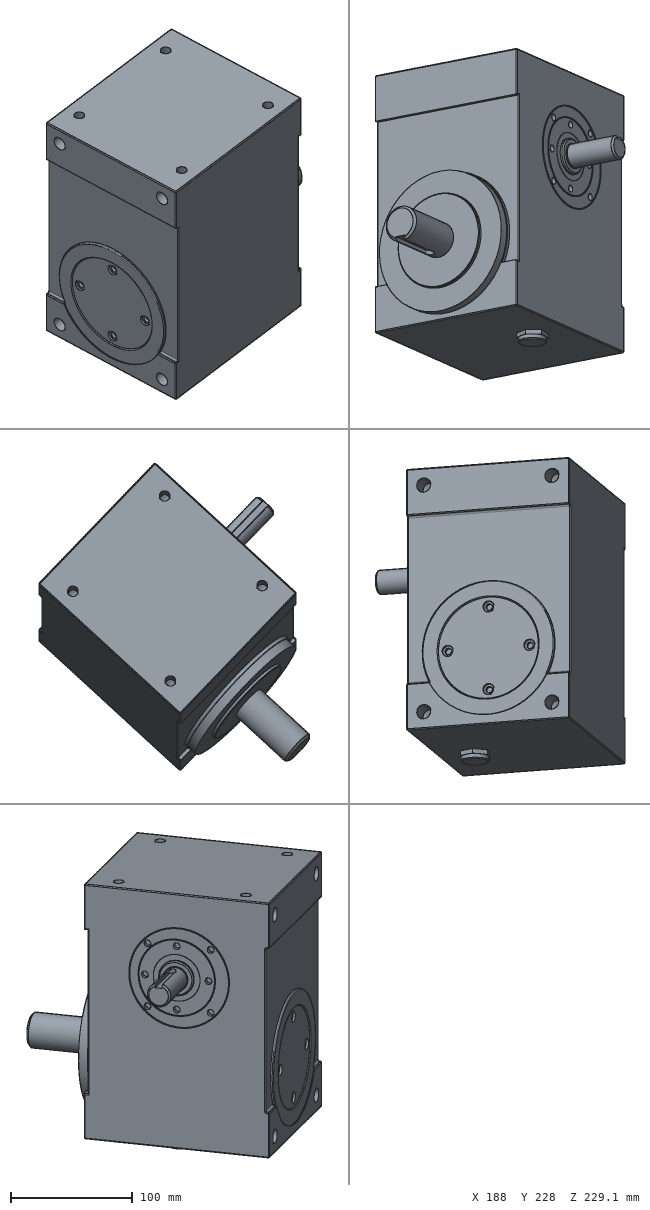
import cadquery as cq
import math

WIDTH = 140.0
DEPTH = 160.0
HEIGHT = 221.0
EDGE_CHAMFER = 1.0
FRONT = -DEPTH / 2
REAR = DEPTH / 2
LEFT = -WIDTH / 2

PAD_HEIGHT = 39.5
RELIEF_DEPTH = 3.2
RELIEF_FILLET = 1.4

MOUNT_PITCH_X = 110.0
MOUNT_PITCH_Y = 110.0
MOUNT_EDGE_Z = 14.5
FACE_HOLE_DIAMETER = 12.0
FACE_HOLE_DEPTH = 18.0
TOP_HOLE_DIAMETER = 8.7
TOP_HOLE_DEPTH = 15.0
DRILL_POINT_ANGLE = 118.0

OUTPUT_Z = 65.0
COVER_RADIUS = 56.8
COVER_SETBACK = 1.0
COVER_FILLET = 1.0
COVER_RECESS_RADIUS = 43.7
COVER_RECESS_DEPTH = 1.0
COVER_BOLT_COUNT = 4
COVER_BOLT_RADIUS = 35.0
COVER_BORE_DIAMETER = 9.2
COVER_BORE_DEPTH = 2.0
COVER_SOCKET_DIAMETER = 5.5
COVER_SOCKET_DEPTH = 5.0
BOSS_RADIUS = 61.0
FLANGE_RADIUS = 60.0
FLANGE_THICKNESS = 8.0
COLLAR_RADIUS = 40.0
COLLAR_THICKNESS = 3.0
COLLAR_CHAMFER = 0.7
OUTPUT_SHAFT_RADIUS = 14.9
OUTPUT_SHAFT_REACH = 68.0
OUTPUT_SHAFT_CHAMFER = 2.0
OUTPUT_KEY_WIDTH = 8.0
OUTPUT_KEY_DEPTH = 4.0
OUTPUT_KEY_LENGTH = 47.9

INPUT_Z = 148.2
INPUT_SHAFT_RADIUS = 10.0
INPUT_SHAFT_REACH = 48.0
INPUT_SHAFT_CHAMFER = 1.5
INPUT_COLLAR_RADIUS = 15.0
INPUT_COLLAR_THICKNESS = 2.5
INPUT_COLLAR_CHAMFER = 1.1
INPUT_LIP_RADIUS = 10.5
INPUT_LIP_THICKNESS = 1.0
INPUT_KEY_WIDTH = 6.0
INPUT_KEY_DEPTH = 3.5
INPUT_KEY_LENGTH = 40.3
BEARING_RADIUS = 33.0
SEAL_RADIUS = 20.2
BEARING_RING_RADIUS = 43.0
BEARING_RING_Y = -2.0
JOINT_WIDTH = 0.7
JOINT_DEPTH = 0.5
SEAL_RECESS = 0.2
BEARING_BOLT_RADIUS = 27.5
RING_BOLT_PITCH = 54.5
BEARING_HOLE_DIAMETER = 5.7
BEARING_HOLE_DEPTH = 4.0

PLUG_X = -37.0
PLUG_Y = 7.0
PLUG_SIDES = 6
PLUG_HEX_FLATS = 22.7
PLUG_HEX_TURN = 98.0
PLUG_HEX_HEIGHT = 4.0
PLUG_DISC_RADIUS = 11.7
PLUG_DISC_HEIGHT = 4.1
PLUG_CHAMFER = 1.0

OVERLAP = 2.3


def cylinder(radius, length, start, direction):
    return cq.Workplane(obj=cq.Solid.makeCylinder(radius, length, cq.Vector(*start), cq.Vector(*direction)))


def drilled_hole(diameter, depth, start, direction):
    """Blind hole with a conical drill point."""
    radius = diameter / 2
    point = radius / math.tan(math.radians(DRILL_POINT_ANGLE / 2))
    axis = cq.Vector(*direction)
    tip_base = cq.Vector(*start) + axis * depth
    cone = cq.Solid.makeCone(radius, 0, point, tip_base, axis)
    return cylinder(radius, depth, start, direction).union(cq.Workplane(obj=cone))


def make_housing():
    low = PAD_HEIGHT
    high = HEIGHT - PAD_HEIGHT
    floor_front = FRONT + RELIEF_DEPTH
    floor_rear = REAR - RELIEF_DEPTH
    outline = [
        (FRONT, 0), (REAR, 0),
        (REAR, low), (floor_rear, low), (floor_rear, high), (REAR, high),
        (REAR, HEIGHT), (FRONT, HEIGHT),
        (FRONT, high), (floor_front, high), (floor_front, low), (FRONT, low),
    ]
    block = cq.Workplane("YZ").polyline(outline).close().extrude(WIDTH / 2, both=True)
    margin = EDGE_CHAMFER / 2
    for z in (low, high):
        inner_corner = cq.selectors.BoxSelector(
            (-margin, floor_front - margin, z - margin),
            (margin, floor_front + margin, z + margin),
        )
        block = block.edges(inner_corner).fillet(RELIEF_FILLET)
    return block.faces("<X or >X or <Y or <Z or >Z").edges().chamfer(EDGE_CHAMFER)


def mounting_holes():
    holes = cq.Workplane()
    for x in (-MOUNT_PITCH_X / 2, MOUNT_PITCH_X / 2):
        for z in (MOUNT_EDGE_Z, HEIGHT - MOUNT_EDGE_Z):
            holes = holes.add(drilled_hole(FACE_HOLE_DIAMETER, FACE_HOLE_DEPTH, (x, FRONT, z), (0, 1, 0)))
        for y in (-MOUNT_PITCH_Y / 2, MOUNT_PITCH_Y / 2):
            holes = holes.add(drilled_hole(TOP_HOLE_DIAMETER, TOP_HOLE_DEPTH, (x, y, HEIGHT), (0, 0, -1)))
    return holes


def add_front_cover(body):
    face = FRONT + COVER_SETBACK
    thickness = RELIEF_DEPTH - COVER_SETBACK + OVERLAP
    body = body.cut(cylinder(COVER_RADIUS, COVER_SETBACK, (0, FRONT, OUTPUT_Z), (0, 1, 0)))
    cover = cylinder(COVER_RADIUS, thickness, (0, face, OUTPUT_Z), (0, 1, 0))
    body = body.union(cover.faces("<Y").edges().fillet(COVER_FILLET))
    recess = cq.Solid.makeCone(
        COVER_RECESS_RADIUS,
        COVER_RECESS_RADIUS - COVER_RECESS_DEPTH,
        COVER_RECESS_DEPTH,
        cq.Vector(0, face, OUTPUT_Z),
        cq.Vector(0, 1, 0),
    )
    body = body.cut(cq.Workplane(obj=recess))
    floor = face + COVER_RECESS_DEPTH
    for i in range(COVER_BOLT_COUNT):
        angle = math.radians(360 / COVER_BOLT_COUNT * i)
        x = COVER_BOLT_RADIUS * math.cos(angle)
        z = OUTPUT_Z + COVER_BOLT_RADIUS * math.sin(angle)
        body = body.cut(cylinder(COVER_BORE_DIAMETER / 2, COVER_BORE_DEPTH, (x, floor, z), (0, 1, 0)))
        body = body.cut(cylinder(COVER_SOCKET_DIAMETER / 2, COVER_SOCKET_DEPTH, (x, floor, z), (0, 1, 0)))
    return body


def keyway_cutter(width, depth, length):
    """Slot starting at the origin and running along +X, open at the start, below Z = 0."""
    straight = length - width / 2
    return (
        cq.Workplane("XY")
        .moveTo(0, -width / 2)
        .lineTo(straight, -width / 2)
        .threePointArc((length, 0), (straight, width / 2))
        .lineTo(0, width / 2)
        .close()
        .extrude(-depth)
    )


def output_shaft():
    root = REAR - RELIEF_DEPTH - OVERLAP
    tip = REAR + OUTPUT_SHAFT_REACH
    flange_face = REAR + FLANGE_THICKNESS
    collar_face = flange_face + COLLAR_THICKNESS
    axis = (0, 1, 0)
    start = (0, root, OUTPUT_Z)
    boss = cylinder(BOSS_RADIUS, REAR - root, start, axis)
    flange = cylinder(FLANGE_RADIUS, flange_face - root, start, axis)
    collar = cylinder(COLLAR_RADIUS, collar_face - root, start, axis).faces(">Y").chamfer(COLLAR_CHAMFER)
    shaft = cylinder(OUTPUT_SHAFT_RADIUS, tip - root, start, axis).faces(">Y").chamfer(OUTPUT_SHAFT_CHAMFER)
    keyway = keyway_cutter(OUTPUT_KEY_WIDTH, OUTPUT_KEY_DEPTH, OUTPUT_KEY_LENGTH)
    keyway = keyway.rotate((0, 0, 0), (0, 1, 0), 180).rotate((0, 0, 0), (0, 0, 1), 90)
    shaft = shaft.cut(keyway.translate((0, tip, OUTPUT_Z - OUTPUT_SHAFT_RADIUS)))
    return boss.union(flange).union(collar).union(shaft)


def joint_groove(radius, y):
    """Narrow ring centred on the given radius, sunk into the left face."""
    start = (LEFT, y, INPUT_Z)
    outer = cylinder(radius + JOINT_WIDTH / 2, JOINT_DEPTH, start, (1, 0, 0))
    return outer.cut(cylinder(radius - JOINT_WIDTH / 2, JOINT_DEPTH, start, (1, 0, 0)))


def add_bearing_cover(body):
    """Mark the flush ring and bearing cover with grooves, sink the seal and drill the bolt holes."""
    body = body.cut(joint_groove(BEARING_RING_RADIUS, BEARING_RING_Y))
    body = body.cut(joint_groove(BEARING_RADIUS, 0))
    body = body.cut(cylinder(SEAL_RADIUS, SEAL_RECESS, (LEFT, 0, INPUT_Z), (1, 0, 0)))
    half = RING_BOLT_PITCH / 2
    ring_bolts = [(BEARING_RING_Y + sy * half, sz * half) for sy in (-1, 1) for sz in (-1, 1)]
    r = BEARING_BOLT_RADIUS
    cover_bolts = [(r, 0), (0, r), (-r, 0), (0, -r)]
    for y, z in ring_bolts + cover_bolts:
        start = (LEFT, y, INPUT_Z + z)
        body = body.cut(cylinder(BEARING_HOLE_DIAMETER / 2, BEARING_HOLE_DEPTH, start, (1, 0, 0)))
    return body


def input_shaft():
    root = LEFT + OVERLAP
    axis = (-1, 0, 0)
    start = (root, 0, INPUT_Z)
    collar_length = OVERLAP + INPUT_COLLAR_THICKNESS
    collar = cylinder(INPUT_COLLAR_RADIUS, collar_length, start, axis)
    collar = collar.faces("<X").chamfer(INPUT_COLLAR_CHAMFER)
    lip = cylinder(INPUT_LIP_RADIUS, collar_length + INPUT_LIP_THICKNESS, start, axis)
    shaft = cylinder(INPUT_SHAFT_RADIUS, OVERLAP + INPUT_SHAFT_REACH, start, axis)
    shaft = shaft.faces("<X").chamfer(INPUT_SHAFT_CHAMFER)
    keyway = keyway_cutter(INPUT_KEY_WIDTH, INPUT_KEY_DEPTH, INPUT_KEY_LENGTH)
    shaft = shaft.cut(keyway.translate((LEFT - INPUT_SHAFT_REACH, 0, INPUT_Z + INPUT_SHAFT_RADIUS)))
    return collar.union(lip).union(shaft)


def drain_plug():
    across_corners = PLUG_HEX_FLATS / math.cos(math.pi / PLUG_SIDES)
    hexagon = (
        cq.Workplane("XY", origin=(PLUG_X, PLUG_Y, 0))
        .transformed(rotate=(0, 0, PLUG_HEX_TURN))
        .polygon(PLUG_SIDES, across_corners)
        .extrude(-PLUG_HEX_HEIGHT)
    )
    disc = cylinder(PLUG_DISC_RADIUS, PLUG_DISC_HEIGHT, (PLUG_X, PLUG_Y, -PLUG_HEX_HEIGHT), (0, 0, -1))
    return hexagon.union(disc.faces("<Z").chamfer(PLUG_CHAMFER))


housing = add_front_cover(make_housing())
housing = add_bearing_cover(housing)
for hole in mounting_holes().vals():
    housing = housing.cut(cq.Workplane(obj=hole))
result = housing.union(output_shaft()).union(input_shaft()).union(drain_plug())